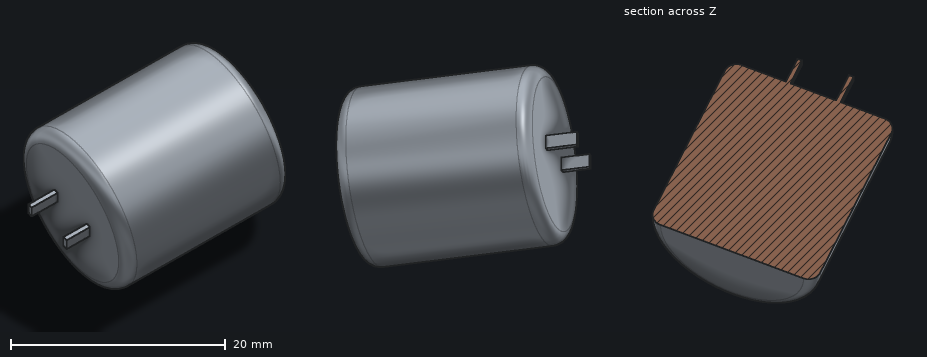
import cadquery as cq

can_diameter = 17.0
can_length = 19.0
edge_radius = 1.22

lead_pitch = 5.1
lead_thickness = 0.5
lead_width = 1.3
long_lead_length = 3.0
short_lead_length = 2.7


def make_can():
    """Cylinder from Y = 0 to Y = can_length with both rims rounded."""
    can = cq.Workplane("XZ").circle(can_diameter / 2).extrude(-can_length)
    return can.faces("<Y or >Y").edges().fillet(edge_radius)


def make_lead(x_center, length):
    """Rectangular lead projecting from the lead face at Y = 0."""
    return (
        cq.Workplane("XZ")
        .center(x_center, 0)
        .rect(lead_thickness, lead_width)
        .extrude(length)
    )


long_lead = make_lead(-lead_pitch / 2, long_lead_length)
short_lead = make_lead(lead_pitch / 2, short_lead_length)

result = make_can().union(long_lead).union(short_lead)